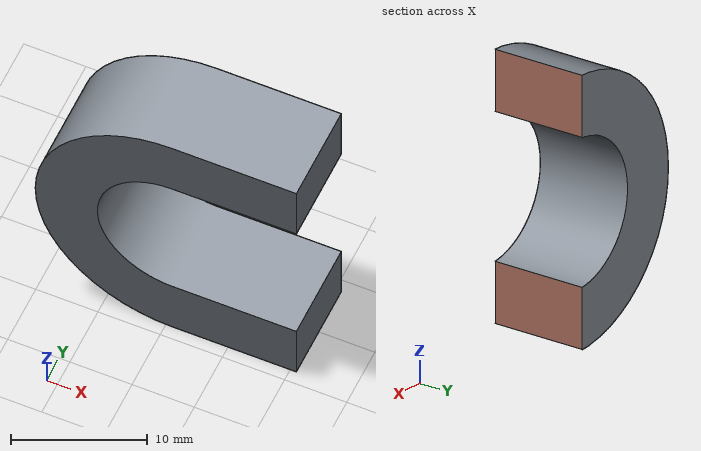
import cadquery as cq

inner_radius = 6.0
wall_thickness = 5.0
leg_length = 10.0
depth = 8.0

outer_radius = inner_radius + wall_thickness


def u_profile():
    """U-shaped outline in the XZ plane, bend centred on the origin, open toward +X."""
    return (
        cq.Workplane("XZ")
        .moveTo(leg_length, outer_radius)
        .lineTo(0, outer_radius)
        .threePointArc((-outer_radius, 0), (0, -outer_radius))
        .lineTo(leg_length, -outer_radius)
        .lineTo(leg_length, -inner_radius)
        .lineTo(0, -inner_radius)
        .threePointArc((-inner_radius, 0), (0, inner_radius))
        .lineTo(leg_length, inner_radius)
        .close()
    )


result = u_profile().extrude(depth / 2, both=True)